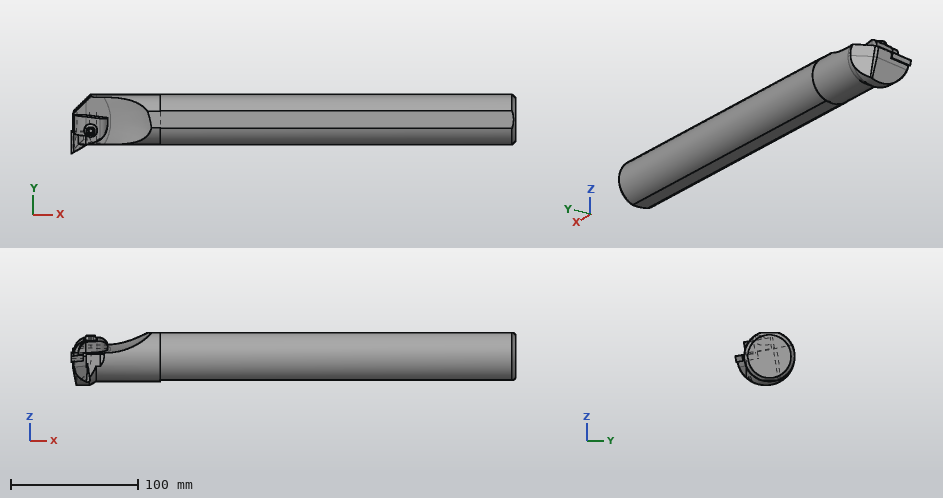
import cadquery as cq
import math


total_length = 350.0
shank_radius = 20.0
shank_start = 70.0
end_chamfer = 3.0
flat_height = 18.75
neck_radius = 19.8
head_radius = 22.85
head_drop = head_radius - shank_radius
head_end = 14.3
neck_blend_end = 19.6

rake_angle = 10.0

floor_height = 6.0
floor_front_drop = 0.6
floor_break = 11.6
scoop_centre_x = -5.0
scoop_floor_radius = 36.0
scoop_radius = 45.0
scoop_sweep = math.radians(55)

front_x = 1.2
front_corner_y = 3.8
corner_facet = (1.0, 2.6)
relief_height = -3.9
relief_angle = 9.5
side_plane_y = -18.3
side_start = 13.0
flank_overrun = 1.2
side_end = 26.3
side_end_run = 3.3
side_lip_height = 1.7
reach = 80.0

insert_tip_y = -26.55
insert_back_y = -9.0
insert_width = 9.5
insert_top = 4.9
insert_thickness = 4.76
insert_bottom = insert_top - insert_thickness
point_slope = math.tan(math.radians(30))
rake_land = 2.0
rake_depth = 0.4

clamp_top = 14.6
clamp_bottom = insert_top
clamp_nose_x = 2.3
clamp_crest_x = 11.3
clamp_shoulder_x = 22.3
clamp_rear_x = 28.6
nose_bulge = 0.65
rear_bulge = 0.75
clamp_side_y = 4.8
clamp_finger_x = 5.6
clamp_finger_y = -18.0
clamp_nose_y = -10.5
clamp_rear_side_y = 2.6
clamp_corner_start_y = -2.0
clamp_corner_mid = (26.0, -10.5)
clamp_corner_end = (20.0, -15.0)

screw_x = 15.3
screw_y = -6.2
screw_rim_diameter = 10.5
screw_top_diameter = 6.7
screw_socket_diameter = 3.9
screw_head_height = 3.0
screw_socket_depth = 3.0


def tilted(work):
    """Turn a feature from the rake frame into the bar's frame."""
    return work.rotate((0, 0, 0), (1, 0, 0), rake_angle)


def across(profile):
    """Extrude an X-Z profile across the whole bar in Y."""
    return profile.extrude(reach / 2, both=True)


def block(x_range, y_range, z_range):
    """Axis-aligned box between the given limits."""
    corner = (x_range[0], y_range[0], z_range[0])
    size = [high - low for low, high in (x_range, y_range, z_range)]
    return cq.Workplane("XY").box(*size, centered=False).translate(corner)


def make_bar():
    """Shank, neck and eccentric head, with the two shank flats."""
    shank = cq.Workplane("YZ").workplane(offset=shank_start).circle(shank_radius)
    shank = shank.extrude(total_length - shank_start).faces(">X").chamfer(end_chamfer)
    neck_length = shank_start - neck_blend_end
    neck = cq.Workplane("YZ").workplane(offset=neck_blend_end).circle(neck_radius).extrude(neck_length)
    head = cq.Workplane("YZ").center(-head_drop, 0).circle(head_radius).extrude(head_end)
    blend = (
        cq.Workplane("YZ").workplane(offset=head_end).center(-head_drop, 0).circle(head_radius)
        .workplane(offset=neck_blend_end - head_end).center(head_drop, 0).circle(neck_radius)
        .loft()
    )
    bar = head.union(blend).union(neck).union(shank)
    top_flat = block((0, total_length), (-reach, reach), (flat_height, reach))
    bottom_flat = block((shank_start, total_length), (-reach, reach), (-reach, -flat_height))
    return bar.cut(top_flat).cut(bottom_flat)


def make_scoop():
    """Chip scoop: a round dish with a flat floor and a concave rim, plus a slight dip at the front."""
    rim_end = scoop_floor_radius + scoop_radius * math.sin(scoop_sweep)
    rim_mid = scoop_floor_radius + scoop_radius * math.sin(scoop_sweep / 2)
    rim_end_height = floor_height + scoop_radius * (1 - math.cos(scoop_sweep))
    rim_mid_height = floor_height + scoop_radius * (1 - math.cos(scoop_sweep / 2))
    half_section = (
        cq.Workplane("XZ")
        .moveTo(0, floor_height)
        .lineTo(scoop_floor_radius, floor_height)
        .threePointArc((rim_mid, rim_mid_height), (rim_end, rim_end_height))
        .lineTo(0, rim_end_height)
        .close()
    )
    dish = half_section.revolve(360, (0, 0, 0), (0, 1, 0)).translate((scoop_centre_x, 0, 0))
    dip = [(0, floor_height - floor_front_drop), (floor_break, floor_height), (0, floor_height)]
    return tilted(dish.union(across(cq.Workplane("XZ").polyline(dip).close())))


def make_nose_envelope():
    """Plan shape of the nose: straight above the relief height, leaning back below it."""
    facet_x = front_x + corner_facet[0]
    facet_y = front_corner_y + corner_facet[1]
    flank_y = insert_tip_y + side_start * point_slope
    outline = [
        (front_x, insert_tip_y + front_x * point_slope),
        (front_x, front_corner_y),
        (facet_x, facet_y),
        (facet_x + reach, facet_y + reach),
        (2 * total_length, facet_y + reach),
        (2 * total_length, -reach),
        (side_start, -reach),
        (side_start, flank_y),
    ]
    plan = cq.Workplane("XY").polyline(outline).close().wire().val()
    upper = cq.Workplane("XY").add(plan).toPending().extrude(reach)
    lower = cq.Workplane("XY").add(plan).toPending().extrude(-reach / 2, taper=relief_angle)
    return tilted(upper.union(lower).translate((0, 0, relief_height)))


def make_side_relief():
    """Flat on the -Y side behind the insert, under a thin lip of the scoop floor."""
    outline = [
        (side_start - flank_overrun, -reach),
        (side_start - flank_overrun, side_plane_y),
        (side_end - side_end_run, side_plane_y),
        (side_end, -shank_radius),
        (side_end, -reach),
    ]
    flat = cq.Workplane("XY").workplane(offset=side_lip_height).polyline(outline).close().extrude(-reach)
    lip_trim = block((insert_width, side_end), (-reach, -neck_radius), (0, reach))
    return flat.union(lip_trim)


def make_insert():
    """Pointed insert with a shallow rake groove along its leading edge."""
    outline = [
        (0, insert_tip_y),
        (0, insert_back_y),
        (insert_width, insert_back_y),
        (insert_width, insert_tip_y + insert_width * point_slope),
    ]
    blank = cq.Workplane("XY").workplane(offset=insert_bottom).polyline(outline).close()
    blank = blank.extrude(insert_thickness)
    groove = [(0, insert_top), (rake_land, insert_top), (rake_land, insert_top - rake_depth)]
    return tilted(blank.cut(across(cq.Workplane("XZ").polyline(groove).close())))


def make_insert_seat():
    """Open pocket in the holder that takes the insert."""
    return tilted(block((-reach, insert_width), (-reach, insert_back_y), (insert_bottom, reach)))


def clamp_bar(nose_x):
    """Side profile of the clamp, rounded at its nose and at its rear."""
    nose_mid = (
        clamp_crest_x - nose_bulge * (clamp_crest_x - nose_x),
        clamp_bottom + nose_bulge * (clamp_top - clamp_bottom),
    )
    rear_mid = (
        clamp_shoulder_x + rear_bulge * (clamp_rear_x - clamp_shoulder_x),
        clamp_bottom + rear_bulge * (clamp_top - clamp_bottom),
    )
    profile = (
        cq.Workplane("XZ")
        .moveTo(nose_x, clamp_bottom)
        .threePointArc(nose_mid, (clamp_crest_x, clamp_top))
        .lineTo(clamp_shoulder_x, clamp_top)
        .threePointArc(rear_mid, (clamp_rear_x, clamp_bottom))
        .close()
    )
    return across(profile)


def make_clamp():
    """Clamp with a broad nose, a finger over the insert and its tapered screw head."""
    nose_plan = block((0, reach), (clamp_nose_y, clamp_side_y), (0, reach))
    finger_plan = block((0, reach), (clamp_finger_y, clamp_nose_y), (insert_top, reach))
    clamp = clamp_bar(clamp_nose_x).intersect(nose_plan)
    clamp = clamp.union(clamp_bar(clamp_finger_x).intersect(finger_plan))
    clamp_outline = (
        cq.Workplane("XY")
        .moveTo(0, clamp_side_y)
        .lineTo(clamp_crest_x, clamp_side_y)
        .lineTo(clamp_rear_x, clamp_rear_side_y)
        .lineTo(clamp_rear_x, clamp_corner_start_y)
        .threePointArc(clamp_corner_mid, clamp_corner_end)
        .lineTo(clamp_crest_x, clamp_finger_y)
        .lineTo(0, clamp_finger_y)
        .close()
        .extrude(reach)
    )
    clamp = clamp.intersect(clamp_outline)
    screw = (
        cq.Workplane("XY").workplane(offset=clamp_top).center(screw_x, screw_y)
        .circle(screw_rim_diameter / 2)
        .workplane(offset=screw_head_height).circle(screw_top_diameter / 2)
        .loft()
        .faces(">Z").workplane().hole(screw_socket_diameter, screw_socket_depth)
    )
    return tilted(clamp.union(screw))


insert = make_insert()
holder = make_bar().intersect(make_nose_envelope())
holder = holder.cut(make_scoop()).cut(make_side_relief()).cut(make_insert_seat())
holder = holder.union(make_clamp()).cut(insert)

result = cq.Compound.makeCompound([holder.val(), insert.val()])